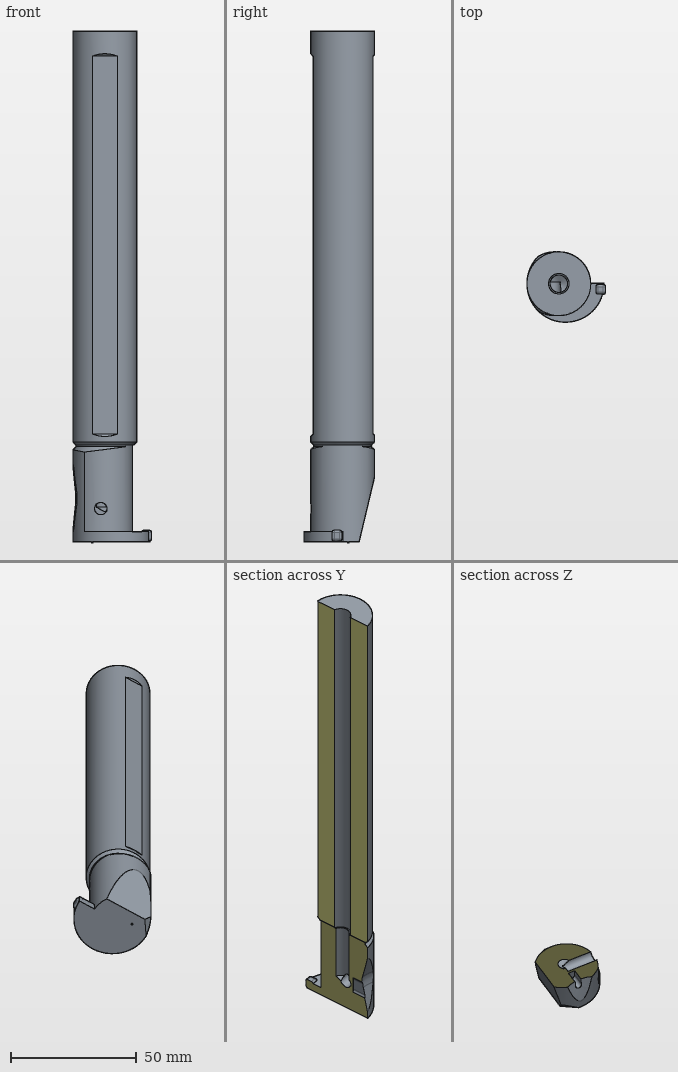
import cadquery as cq
import math

tube_diameter = 25.5
tube_radius = tube_diameter / 2
tube_bottom = 38.8
total_height = 203.2
total_width = 31.3
tube_chamfer = 1.2
tube_bore_radius = 4.0

flat_bottom = 43.3
flat_top = 193.2
front_flat_depth = 1.0
back_flat_depth = 0.6

barrel_radius = tube_radius
barrel_offset = -1.6
foot_diameter = 30.7
foot_radius = foot_diameter / 2
foot_offset = foot_radius - tube_radius
foot_bottom = 0.5
foot_top = 4.5
foot_end_y = 0.2

neck_radius = tube_radius - tube_chamfer
neck_bottom = 38.2

back_slope_foot_y = 6.5
back_slope_top_y = 13.0
back_slope_top_z = 27.2

bevel_start = (-12.5, 0.6)
bevel_direction = 145.0
bevel_lean = 35.0

head_bore_radius = 3.5
head_bore_bottom = 14.2
drill_point_angle = 118.0

cross_hole_radius = 2.5
cross_hole_z = 13.6
cross_hole_end_y = 0.6

scoop_axis_x = -24.4
scoop_y = -1.2
scoop_z = 17.7
scoop_radius = 14.6
scoop_arc_height = 5.5
scoop_taper = 13.3

slot_width = 2.6
slot_height = 8.0
slot_floor_x = -5.3
slot_y = -0.5
slot_z = 14.0

tip_inner_x = 14.6
tip_outer_x = total_width - tube_radius
tip_front_y = -4.3
tip_back_y = -0.2
tip_bottom = 0.6
tip_top = 5.0
tip_rounding = 1.0

pip_radius = 0.3
pip_x = -5.0
pip_y = 2.2

clearance = 2.0


def cylinder(radius, bottom, top, x=0.0):
    """Upright cylinder whose axis crosses the X axis at x."""
    return cq.Workplane("XY", origin=(x, 0, bottom)).circle(radius).extrude(top - bottom)


def flat_cutter(depth, side):
    """Cutter for a long flat with 45-degree ends; side is -1 for -Y and +1 for +Y."""
    floor = tube_radius - depth
    outside = tube_radius + clearance
    flare = outside - floor
    profile = [
        (side * floor, flat_bottom),
        (side * outside, flat_bottom - flare),
        (side * outside, flat_top + flare),
        (side * floor, flat_top),
    ]
    return cq.Workplane("YZ").polyline(profile).close().extrude(tube_radius, both=True)


def make_tube():
    tube = cylinder(tube_radius, tube_bottom, total_height).faces("<Z").chamfer(tube_chamfer)
    tube = tube.cut(flat_cutter(front_flat_depth, -1))
    tube = tube.cut(flat_cutter(back_flat_depth, 1))
    return tube.cut(cylinder(tube_bore_radius, tube_bottom, total_height))


def head_envelope():
    """Turned limit of the head: a straight side, then a 45-degree shoulder up to the neck."""
    limit = foot_radius + foot_offset + clearance
    profile = [
        (0, 0),
        (limit, 0),
        (limit, neck_bottom - (limit - neck_radius)),
        (neck_radius, neck_bottom),
        (neck_radius, tube_bottom),
        (0, tube_bottom),
    ]
    return cq.Workplane("XZ").polyline(profile).close().revolve(360, (0, 0, 0), (0, 1, 0))


def head_blank():
    barrel = cylinder(barrel_radius, foot_bottom, tube_bottom, barrel_offset)
    barrel = barrel.intersect(cylinder(foot_radius, foot_bottom, tube_bottom, foot_offset))
    barrel = barrel.intersect(head_envelope())

    front_half = (
        cq.Workplane("XY", origin=(foot_offset, foot_end_y - foot_radius, foot_bottom))
        .rect(2 * foot_radius, 2 * foot_radius)
        .extrude(foot_top - foot_bottom)
    )
    foot = cylinder(foot_radius, foot_bottom, foot_top, foot_offset).intersect(front_half)
    return barrel.union(foot)


def foot_tip():
    """Bead with rounded edges at the free end of the foot."""
    return (
        cq.Workplane("XY")
        .box(tip_outer_x - tip_inner_x, tip_back_y - tip_front_y, tip_top - tip_bottom, centered=False)
        .translate((tip_inner_x, tip_front_y, tip_bottom))
        .edges()
        .fillet(tip_rounding)
    )


def foot_pip():
    """Small point under the foot."""
    return cylinder(pip_radius, 0, foot_top).translate((pip_x, pip_y, 0))


def back_slope_cutter():
    """Wedge that leans the +Y side of the head inward towards the foot."""
    lean = (back_slope_top_y - back_slope_foot_y) / back_slope_top_z
    top_y = back_slope_foot_y + lean * tube_bottom
    bottom_y = back_slope_foot_y - lean * clearance
    outside_y = top_y + foot_radius
    profile = [
        (bottom_y, -clearance),
        (outside_y, -clearance),
        (outside_y, tube_bottom),
        (top_y, tube_bottom),
    ]
    return cq.Workplane("YZ").polyline(profile).close().extrude(2 * foot_radius, both=True)


def corner_bevel_cutter():
    """Block whose tilted face bevels the bottom corner between the -X and +Y sides."""
    lean = math.radians(bevel_lean)
    direction = math.radians(bevel_direction)
    normal = (
        math.cos(lean) * math.cos(direction),
        math.cos(lean) * math.sin(direction),
        -math.sin(lean),
    )
    face = cq.Plane(origin=(*bevel_start, foot_bottom), normal=normal)
    return cq.Workplane(face).rect(4 * foot_radius, 4 * foot_radius).extrude(foot_radius)


def scoop_cutter():
    """Spindle turned about an upright axis outside the -X side: two cones joined by a tangent arc."""
    taper = math.radians(scoop_taper)
    arc_rise = scoop_arc_height / 2
    arc_end = scoop_radius - arc_rise * math.tan(taper / 2)
    tip_rise = arc_rise + arc_end / math.tan(taper)
    return (
        cq.Workplane("XZ", origin=(scoop_axis_x, scoop_y, scoop_z))
        .moveTo(0, -tip_rise)
        .lineTo(arc_end, -arc_rise)
        .threePointArc((scoop_radius, 0), (arc_end, arc_rise))
        .lineTo(0, tip_rise)
        .close()
        .revolve(360, (0, 0, 0), (0, 1, 0))
    )


def scoop_slot():
    """Shallow upright slot with round ends, sunk into the floor of the scoop."""
    return (
        cq.Workplane("YZ", origin=(slot_floor_x, slot_y, slot_z))
        .slot2D(slot_height, slot_width, 90)
        .extrude(scoop_axis_x)
    )


def head_bore():
    """Blind drilled hole on the tube's axis with a conical end."""
    point = head_bore_radius / math.tan(math.radians(drill_point_angle / 2))
    profile = [
        (0, head_bore_bottom - point),
        (head_bore_radius, head_bore_bottom),
        (head_bore_radius, tube_bottom),
        (0, tube_bottom),
    ]
    return cq.Workplane("XZ").polyline(profile).close().revolve(360, (0, 0, 0), (0, 1, 0))


def cross_hole():
    """Hole from the -Y side of the barrel ending just past the middle of the bore."""
    return (
        cq.Workplane("XZ", origin=(barrel_offset, cross_hole_end_y, cross_hole_z))
        .circle(cross_hole_radius)
        .extrude(foot_radius + clearance)
    )


def make_head():
    head = head_blank().union(foot_tip()).union(foot_pip())
    cutters = [
        back_slope_cutter(),
        corner_bevel_cutter(),
        scoop_cutter(),
        scoop_slot(),
        head_bore(),
        cross_hole(),
    ]
    for cutter in cutters:
        head = head.cut(cutter)
    return head


tube = make_tube()
head = make_head()

result = cq.Compound.makeCompound([tube.val(), head.val()])